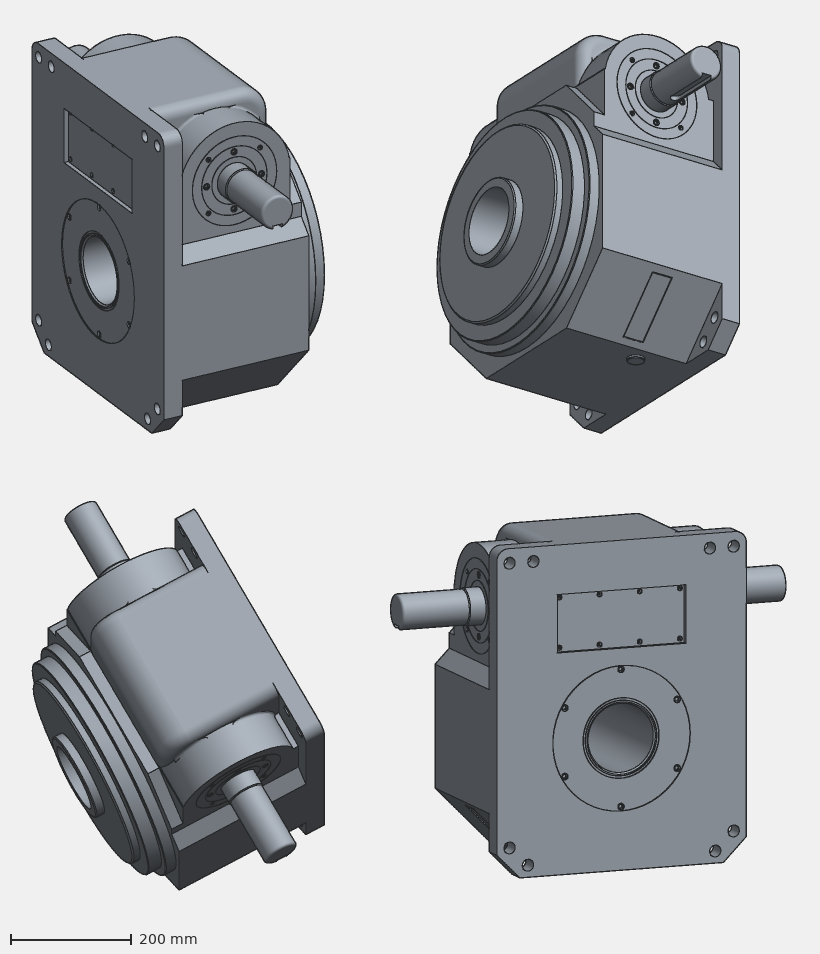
import cadquery as cq
import math

HALF_LENGTH = 342.0
PLATE_HALF_WIDTH = 222.0
PLATE_TOP = 334.0
PLATE_BOTTOM = -222.0
PLATE_THICKNESS = 35.0
PLATE_TOP_RADIUS = 20.0
PLATE_CORNER_CHAMFER = 41.0
MERGE = 3.5

PLATE_HOLES = [
    (200.0, 309.0, 20.0),
    (157.0, 309.0, 20.0),
    (200.0, -170.0, 20.0),
    (167.0, -202.0, 20.0),
]

BODY_BACK = 275.0
UPPER_BACK = 254.0
WAIST_HALF_WIDTH = 197.0
LEDGE_Z = 117.0
BODY_CHAMFER = 105.0
SHOULDER_TOP = 224.0
SHOULDER_HALF_WIDTH = 116.0
BLOCK_TOP = 228.5
BOX_HALF_WIDTH = 130.5
BOX_BACK_RADIUS = 50.5
BOX_EDGE_RADIUS = 20.5

SHAFT_Y = 148.5
SHAFT_Z = 211.0
BOSS_RADIUS = 105.0
BOSS_ROOT_RADIUS = 4.45
SHAFT_DIAMETER = 60.0
SHAFT_END_RADIUS = 5.0
COLLAR_DIAMETER = 63.5
COLLAR_END = 224.5
COLLAR_CHAMFER = 2.0
KEYWAY_WIDTH = 18.0
KEYWAY_END = 243.0
KEYWAY_FLOOR = 22.0
COVER_STEPS = [(160.0, 1.0), (124.0, 1.5), (85.0, 2.0)]

COVER_SCREWS_PER_RING = 4
COVER_SCREWS = [(52.0, 0, 11.0, 6.8), (69.0, 45, 8.0, 3.2)]

HEAD_DEPTH = 3.0
SOCKET_DEPTH = 5.5
DISC_SCREW = (11.0, 6.65)
WINDOW_SCREW = (8.0, 3.2)

BORE_DIAMETER = 116.0
BORE_CHAMFER = 3.0
HUB_LENGTH = 350.0
OUTPUT_STEPS = [
    (425.0, 295.0, 1.5),
    (396.0, 319.5, 1.5),
    (340.5, 334.0, 3.0),
    (150.5, HUB_LENGTH, 2.0),
]
DISC_DIAMETER = 245.0
DISC_DEPTH = 2.0
SEAL_OUTER_DIAMETER = 135.5
SEAL_INNER_DIAMETER = 127.0
SEAL_DEPTH = 4.0
DISC_SCREW_RADIUS = 115.5
DISC_SCREW_COUNT = 6

WINDOW_HALF_WIDTH = 114.0
WINDOW_TOP = 250.5
WINDOW_BOTTOM = 152.0
WINDOW_DEPTH = 8.0
WINDOW_SCREW_INSET = 7.0
WINDOW_SCREW_COLUMNS = 4

PLUG_X = -85.5
PLUG_Y = 114.0
PLUG_DIAMETER = 30.0
PLUG_HEIGHT = 5.0
PLUG_CHAMFER = 1.5
NAMEPLATE_Y = (128.0, 167.0)
NAMEPLATE_Z = (-212.0, -127.0)
NAMEPLATE_DEPTH = 2.0


def cylinder_y(diameter, start, end, x=0.0, z=0.0):
    """Cylinder along +Y between two Y positions."""
    plane = cq.Plane(origin=(x, start, z), xDir=(1, 0, 0), normal=(0, 1, 0))
    return cq.Workplane(plane).circle(diameter / 2).extrude(end - start)


def cylinder_x(diameter, start, end, y=SHAFT_Y, z=SHAFT_Z):
    """Cylinder along +X between two X positions."""
    return cq.Workplane("YZ", origin=(start, y, z)).circle(diameter / 2).extrude(end - start)


def block(x_range, y_range, z_range):
    """Axis-aligned block from its limits."""
    size = [high - low for low, high in (x_range, y_range, z_range)]
    corner = (x_range[0], y_range[0], z_range[0])
    return cq.Workplane("XY").box(*size, centered=False).translate(corner)


def prism_y(half_outline, start, end):
    """Extrude along Y an outline given by its +X half, listed from top to bottom."""
    mirrored = [(-x, z) for x, z in reversed(half_outline)]
    profile = cq.Workplane("XZ", origin=(0, start, 0)).polyline(half_outline + mirrored).close()
    return profile.extrude(start - end)


def mirror_pair(solid):
    """The solid together with its mirror image about x = 0."""
    return solid.union(solid.mirror("YZ"))


def mounting_plate():
    """Plate with rounded top corners, chamfered lower corners and mounting holes."""
    chamfer_x = PLATE_HALF_WIDTH - PLATE_CORNER_CHAMFER
    outline = [
        (PLATE_HALF_WIDTH, PLATE_TOP),
        (PLATE_HALF_WIDTH, PLATE_BOTTOM + PLATE_CORNER_CHAMFER),
        (chamfer_x, PLATE_BOTTOM),
    ]
    plate = prism_y(outline, 0, PLATE_THICKNESS)
    plate = plate.edges("|Y and >Z").fillet(PLATE_TOP_RADIUS)
    for x, z, diameter in PLATE_HOLES:
        plate = plate.cut(mirror_pair(cylinder_y(diameter, 0, PLATE_THICKNESS, x, z)))
    return plate


def main_body():
    """Lower housing with sloped ledges, rear shoulder and narrowed waist."""
    shoulder_drop = WAIST_HALF_WIDTH - SHOULDER_HALF_WIDTH
    ledge_drop = PLATE_HALF_WIDTH - WAIST_HALF_WIDTH
    outline = [
        (SHOULDER_HALF_WIDTH, SHOULDER_TOP),
        (WAIST_HALF_WIDTH, SHOULDER_TOP - shoulder_drop),
        (WAIST_HALF_WIDTH, LEDGE_Z),
        (PLATE_HALF_WIDTH, LEDGE_Z - ledge_drop),
        (PLATE_HALF_WIDTH, PLATE_BOTTOM + BODY_CHAMFER),
        (PLATE_HALF_WIDTH - BODY_CHAMFER, PLATE_BOTTOM),
    ]
    lower = prism_y(outline, PLATE_THICKNESS, BODY_BACK)
    waist = block(
        (-WAIST_HALF_WIDTH, WAIST_HALF_WIDTH), (PLATE_THICKNESS, UPPER_BACK), (0, BLOCK_TOP)
    )
    return lower.union(waist)


def upper_box():
    """Central box over the input shaft, rounded at the rear and along its sides."""
    box = block(
        (-BOX_HALF_WIDTH, BOX_HALF_WIDTH), (PLATE_THICKNESS, UPPER_BACK), (0, PLATE_TOP)
    )
    box = box.edges(">Y and >Z").fillet(BOX_BACK_RADIUS)
    return box.faces(">Z").edges("|Y").fillet(BOX_EDGE_RADIUS)


def bearing_boss():
    """Boss on the +X side with a concave root fillet against the upper box."""
    root = BOSS_ROOT_RADIUS
    middle = root * (1 - math.sqrt(0.5))
    fillet = (
        cq.Workplane("XY")
        .moveTo(BOX_HALF_WIDTH, 0)
        .lineTo(BOX_HALF_WIDTH, BOSS_RADIUS + root)
        .threePointArc(
            (BOX_HALF_WIDTH + middle, BOSS_RADIUS + middle), (BOX_HALF_WIDTH + root, BOSS_RADIUS)
        )
        .lineTo(BOX_HALF_WIDTH + root, 0)
        .close()
        .revolve(360, (0, 0, 0), (1, 0, 0))
        .translate((0, SHAFT_Y, SHAFT_Z))
    )
    flat_side = block(
        (0, HALF_LENGTH),
        (PLATE_THICKNESS, UPPER_BACK - BOX_EDGE_RADIUS),
        (BLOCK_TOP - MERGE, PLATE_TOP - BOX_EDGE_RADIUS),
    )
    above_block = block(
        (0, HALF_LENGTH), (PLATE_THICKNESS, UPPER_BACK), (BLOCK_TOP - MERGE, PLATE_TOP)
    )
    boss = cylinder_x(2 * BOSS_RADIUS, BOX_HALF_WIDTH - BOX_EDGE_RADIUS, WAIST_HALF_WIDTH)
    return boss.intersect(above_block).union(fillet.intersect(flat_side))


def shaft_end():
    """Collar, shaft journal and open-ended keyway on the +X side."""
    collar = cylinder_x(COLLAR_DIAMETER, BOX_HALF_WIDTH, COLLAR_END)
    collar = collar.faces(">X").chamfer(COLLAR_CHAMFER)
    journal = cylinder_x(SHAFT_DIAMETER, BOX_HALF_WIDTH, HALF_LENGTH)
    journal = journal.faces(">X").edges().fillet(SHAFT_END_RADIUS)
    half_key = KEYWAY_WIDTH / 2
    keyway_x = KEYWAY_END + half_key
    floor_z = SHAFT_Z - KEYWAY_FLOOR
    key_z = (floor_z - SHAFT_DIAMETER / 2, floor_z)
    keyway = block((keyway_x, HALF_LENGTH), (SHAFT_Y - half_key, SHAFT_Y + half_key), key_z)
    round_end = cq.Workplane("XY", origin=(keyway_x, SHAFT_Y, key_z[0]))
    round_end = round_end.circle(half_key).extrude(key_z[1] - key_z[0])
    return collar.union(journal.cut(keyway).cut(round_end))


def cover_recess(diameter, depth, y=SHAFT_Y, z=SHAFT_Z):
    """Round recess sunk into the +X waist face."""
    return cylinder_x(diameter, WAIST_HALF_WIDTH - depth, WAIST_HALF_WIDTH, y, z)


def bearing_cover_cuts():
    """Stepped circular recesses and rings of screws in the +X waist face."""
    cuts = cq.Workplane("XY")
    for diameter, depth in COVER_STEPS:
        cuts = cuts.add(cover_recess(diameter, depth))
    for pitch_radius, first_angle, head_diameter, socket_diameter in COVER_SCREWS:
        for index in range(COVER_SCREWS_PER_RING):
            angle = math.radians(first_angle + index * 360 / COVER_SCREWS_PER_RING)
            y = SHAFT_Y + pitch_radius * math.cos(angle)
            z = SHAFT_Z + pitch_radius * math.sin(angle)
            cuts = cuts.add(cover_recess(head_diameter, HEAD_DEPTH, y, z))
            cuts = cuts.add(cover_recess(socket_diameter, SOCKET_DEPTH, y, z))
    return cuts.combine()


def output_flange():
    """Stepped output flange and hub on the rear of the body."""
    flange = cq.Workplane("XY")
    for diameter, end, chamfer in OUTPUT_STEPS:
        step = cylinder_y(diameter, BODY_BACK - MERGE, end)
        flange = flange.add(step.faces(">Y").chamfer(chamfer))
    return flange.combine()


def front_screw(screw, x, z, face_y):
    """Counterbored head and smaller socket of a screw sunk below a front-facing surface."""
    head_diameter, socket_diameter = screw
    head = cylinder_y(head_diameter, face_y, face_y + HEAD_DEPTH, x, z)
    return head.union(cylinder_y(socket_diameter, face_y, face_y + SOCKET_DEPTH, x, z))


def front_disc_cuts():
    """Sunk disc around the bore with its seal groove and ring of screws."""
    cuts = cylinder_y(DISC_DIAMETER, 0, DISC_DEPTH)
    groove = cylinder_y(SEAL_OUTER_DIAMETER, 0, SEAL_DEPTH)
    cuts = cuts.union(groove.cut(cylinder_y(SEAL_INNER_DIAMETER, 0, SEAL_DEPTH)))
    for index in range(DISC_SCREW_COUNT):
        angle = math.radians(90) + 2 * math.pi * index / DISC_SCREW_COUNT
        x = DISC_SCREW_RADIUS * math.cos(angle)
        z = DISC_SCREW_RADIUS * math.sin(angle)
        cuts = cuts.union(front_screw(DISC_SCREW, x, z, DISC_DEPTH))
    return cuts


def bore_cut():
    """Through bore with a chamfered mouth at the disc."""
    small_radius = BORE_DIAMETER / 2
    large_radius = small_radius + BORE_CHAMFER
    cone = cq.Solid.makeCone(
        large_radius, small_radius, BORE_CHAMFER, cq.Vector(0, DISC_DEPTH, 0), cq.Vector(0, 1, 0)
    )
    return cylinder_y(BORE_DIAMETER, 0, HUB_LENGTH).union(cq.Workplane(cone))


def window_cuts():
    """Rectangular recess in the plate with two rows of screws in its floor."""
    cuts = block(
        (-WINDOW_HALF_WIDTH, WINDOW_HALF_WIDTH), (0, WINDOW_DEPTH), (WINDOW_BOTTOM, WINDOW_TOP)
    )
    outer_x = WINDOW_HALF_WIDTH - WINDOW_SCREW_INSET
    pitch = 2 * outer_x / (WINDOW_SCREW_COLUMNS - 1)
    for column in range(WINDOW_SCREW_COLUMNS):
        for z in (WINDOW_BOTTOM + WINDOW_SCREW_INSET, WINDOW_TOP - WINDOW_SCREW_INSET):
            x = -outer_x + column * pitch
            cuts = cuts.union(front_screw(WINDOW_SCREW, x, z, WINDOW_DEPTH))
    return cuts


def drain_plug():
    """Round plug under the body."""
    plug = cq.Workplane("XY", origin=(PLUG_X, PLUG_Y, PLATE_BOTTOM + MERGE))
    plug = plug.circle(PLUG_DIAMETER / 2).extrude(-PLUG_HEIGHT - MERGE)
    return plug.faces("<Z").chamfer(PLUG_CHAMFER)


def nameplate_cut():
    """Shallow rectangular recess in the sloped lower corner on the -X side."""
    low_z, high_z = NAMEPLATE_Z
    low_x = -(PLATE_HALF_WIDTH - BODY_CHAMFER) - (low_z - PLATE_BOTTOM)
    high_x = low_x - (high_z - low_z)
    shift = NAMEPLATE_DEPTH * math.sqrt(2)
    outline = [(low_x, low_z), (high_x, high_z), (high_x + shift, high_z), (low_x + shift, low_z)]
    start, end = NAMEPLATE_Y
    return cq.Workplane("XZ", origin=(0, start, 0)).polyline(outline).close().extrude(start - end)


result = mounting_plate().union(main_body()).union(upper_box()).union(mirror_pair(bearing_boss()))
result = result.cut(mirror_pair(bearing_cover_cuts()))
result = result.union(mirror_pair(shaft_end())).union(output_flange()).union(drain_plug())
result = result.cut(front_disc_cuts()).cut(bore_cut()).cut(window_cuts()).cut(nameplate_cut())